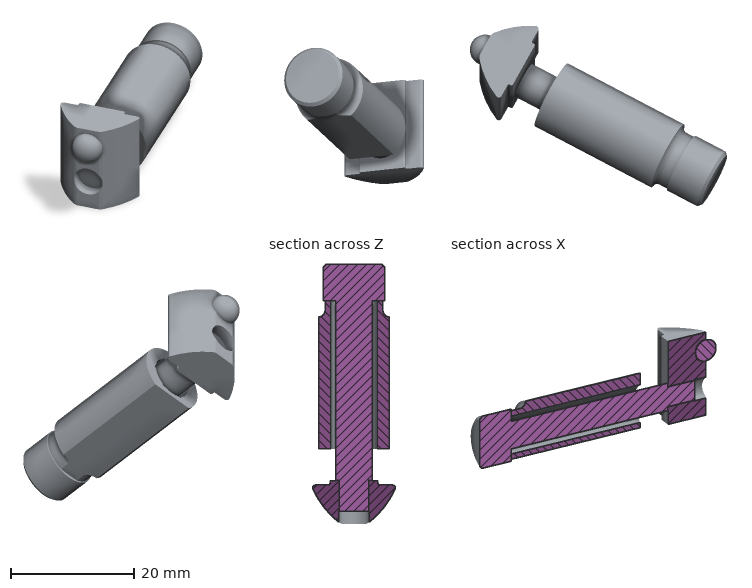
import cadquery as cq
import math


stem_diameter = 6.0
thread_core_diameter = 4.9
head_diameter = 10.0
head_height = 6.0
head_chamfer = 0.5
head_seat_y = 36.2
bolt_tip_y = 2.0

sleeve_diameter = 11.53
sleeve_bore = 7.2
hex_across_flats = 6.7
sleeve_front_y = 12.2
neck_diameter = 9.45
neck_fillet = (sleeve_diameter - neck_diameter) / 2
neck_fillet_end_y = 34.65
flat_depth_below_axis = 4.4

nut_width = 13.5
nut_height = 15.0
nut_depth = 7.1
nut_bottom_z = -head_diameter / 2
boss_half_width = 3.95
boss_height = 0.7
boss_corner_radius = 0.22
wing_corner_radius = 0.5
wing_corner_angle = math.radians(28)
flank_sagitta = 0.4
front_edge_half_width = 2.45
front_flat_half_width = 1.9
front_edge_y = 0.25

ball_diameter = 5.0
ball_z = 6.7


def cylinder_along_y(diameter, start_y, end_y):
    """Cylinder on the bolt axis between two Y positions."""
    start_plane = cq.Workplane("XZ", origin=(0, start_y, 0))
    return start_plane.circle(diameter / 2).extrude(start_y - end_y)


def make_bolt():
    """Cap screw: chamfered head, stem, and a thread core inside the nut."""
    head = cylinder_along_y(head_diameter, head_seat_y, head_seat_y + head_height)
    head = head.faces(">Y").edges().chamfer(head_chamfer)
    stem = cylinder_along_y(stem_diameter, nut_depth, head_seat_y)
    thread_core = cylinder_along_y(thread_core_diameter, bolt_tip_y, nut_depth)
    return head.union(stem).union(thread_core)


def make_sleeve():
    """Sleeve with a round bore, six hexagon corner grooves, a filleted neck and a bottom flat."""
    sleeve_radius = sleeve_diameter / 2
    neck_radius = neck_diameter / 2
    bore_radius = sleeve_bore / 2
    shoulder_y = neck_fillet_end_y - neck_fillet
    arc_reach = neck_fillet * math.sqrt(0.5)
    fillet_middle = (sleeve_radius - arc_reach, neck_fillet_end_y - arc_reach)
    sleeve = (
        cq.Workplane("XY")
        .moveTo(bore_radius, sleeve_front_y)
        .lineTo(sleeve_radius, sleeve_front_y)
        .lineTo(sleeve_radius, shoulder_y)
        .threePointArc(fillet_middle, (neck_radius, neck_fillet_end_y))
        .lineTo(neck_radius, head_seat_y)
        .lineTo(bore_radius, head_seat_y)
        .close()
        .revolve(360, (0, 0, 0), (0, 1, 0))
    )
    below_flat = (
        cq.Workplane("XY", origin=(0, 0, -flat_depth_below_axis))
        .rect(sleeve_diameter, 2 * head_seat_y)
        .extrude(-sleeve_radius)
    )
    hex_across_corners = hex_across_flats / math.cos(math.pi / 6)
    hex_bore = (
        cq.Workplane("XZ", origin=(0, sleeve_front_y, 0))
        .polygon(6, hex_across_corners)
        .extrude(sleeve_front_y - head_seat_y)
    )
    return sleeve.cut(below_flat).cut(hex_bore)


def make_nut():
    """Slot nut with bulging flanks, a threaded hole and a ball seat."""
    wing_y = nut_depth - boss_height
    corner_x = nut_width / 2 - wing_corner_radius
    corner_y = wing_y - wing_corner_radius

    def wing_corner_point(angle):
        x = corner_x + wing_corner_radius * math.cos(angle)
        y = corner_y + wing_corner_radius * math.sin(angle)
        return (x, y)

    flank_back = wing_corner_point(-wing_corner_angle)
    flank_front = (front_edge_half_width, front_edge_y)
    half_profile = (
        cq.Workplane("XY", origin=(0, 0, nut_bottom_z))
        .moveTo(0, nut_depth)
        .lineTo(boss_half_width, nut_depth)
        .lineTo(boss_half_width, wing_y)
        .lineTo(corner_x, wing_y)
        .threePointArc(wing_corner_point(0), flank_back)
        .sagittaArc(flank_front, flank_sagitta)
        .lineTo(front_flat_half_width, 0)
        .lineTo(0, 0)
        .close()
    )
    half_nut = half_profile.extrude(nut_height)
    corner_box_start = (boss_half_width - boss_height / 2, wing_y - boss_height / 2, nut_bottom_z)
    corner_box_end = (boss_half_width + boss_height / 2, nut_depth + boss_height / 2, nut_bottom_z + nut_height)
    corner_box = cq.selectors.BoxSelector(corner_box_start, corner_box_end)
    boss_corners = half_nut.edges(corner_box).edges("|Z")
    half_nut = boss_corners.fillet(boss_corner_radius)
    nut = half_nut.union(half_nut.mirror("YZ"))
    nut = nut.cut(cylinder_along_y(thread_core_diameter, 0, nut_depth))
    return nut.cut(make_ball())


def make_ball():
    """Ball centred on the front face of the nut, half sunk into it."""
    return cq.Workplane("XY", origin=(0, 0, ball_z)).sphere(ball_diameter / 2)


bolt = make_bolt()
sleeve = make_sleeve()
nut = make_nut()
ball = make_ball()

result = cq.Compound.makeCompound([bolt.val(), sleeve.val(), nut.val(), ball.val()])